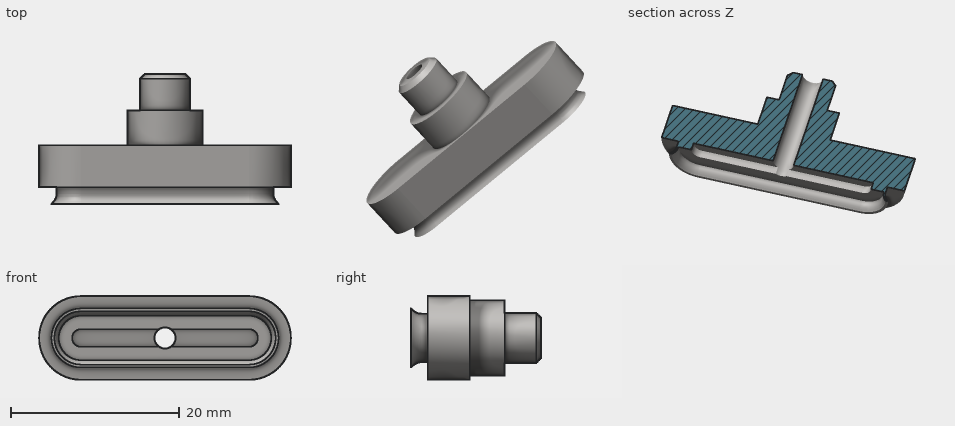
import cadquery as cq
import math

LENGTH = 30.0
HEIGHT = 10.0
PLATE_THICKNESS = 5.0
END_OFFSET = (LENGTH - HEIGHT) / 2

BOSS_DIAMETER = 9.0
BOSS_LENGTH = 4.15
PIN_DIAMETER = 6.0
PIN_LENGTH = 4.35
PIN_CHAMFER = 0.6

LIP_RADIUS = 2.9
LIP_WALL = 0.27
LIP_LENGTH = 2.0
STRAIGHT_LENGTH = 0.8
CURVE_LENGTH = 0.8
FLARE_ANGLE = math.radians(39)
CURVE_RADIUS = CURVE_LENGTH / math.sin(FLARE_ANGLE)

GROOVE_WIDTH = 2.1
GROOVE_DEPTH = 1.0
BORE_DIAMETER = 2.5


def front_plane(y):
    """Sketch plane at the given Y, with its normal toward +Y."""
    return cq.Workplane(cq.Plane(origin=(0, y, 0), xDir=(1, 0, 0), normal=(0, 1, 0)))


def stadium(width, y, depth):
    return front_plane(y).slot2D(2 * END_OFFSET + width, width).extrude(depth)


def cylinder(diameter, y, depth):
    return front_plane(y).circle(diameter / 2).extrude(depth)


def flare_profile(x, inset):
    """Half section (Y, Z) of the flared shape, moved inward by the inset."""
    curve_center_z = LIP_RADIUS + CURVE_RADIUS
    arc_radius = CURVE_RADIUS + inset

    def arc_point(angle):
        return (
            -STRAIGHT_LENGTH - arc_radius * math.sin(angle),
            curve_center_z - arc_radius * math.cos(angle),
        )

    curve_end = arc_point(FLARE_ANGLE)
    mouth_z = curve_end[1] + (LIP_LENGTH + curve_end[0]) * math.tan(FLARE_ANGLE)
    return (
        cq.Workplane("YZ", origin=(x, 0, 0))
        .moveTo(0, 0)
        .lineTo(0, LIP_RADIUS - inset)
        .lineTo(-STRAIGHT_LENGTH, LIP_RADIUS - inset)
        .threePointArc(arc_point(FLARE_ANGLE / 2), curve_end)
        .lineTo(-LIP_LENGTH, mouth_z)
        .lineTo(-LIP_LENGTH, 0)
        .close()
    )


def flared_stadium(inset):
    """Flared solid: a straight middle between two revolved ends."""
    upper = flare_profile(-END_OFFSET, inset).extrude(2 * END_OFFSET)
    solid = upper.union(upper.mirror("XY"))
    for x in (-END_OFFSET, END_OFFSET):
        solid = solid.union(flare_profile(x, inset).revolve(360, (0, 0, 0), (1, 0, 0)))
    return solid


plate = stadium(HEIGHT, 0, PLATE_THICKNESS)
boss = cylinder(BOSS_DIAMETER, PLATE_THICKNESS, BOSS_LENGTH)
pin = cylinder(PIN_DIAMETER, PLATE_THICKNESS + BOSS_LENGTH, PIN_LENGTH)
pin = pin.faces(">Y").chamfer(PIN_CHAMFER)
lip = flared_stadium(0).cut(flared_stadium(LIP_WALL))
floor = stadium(2 * LIP_RADIUS, -STRAIGHT_LENGTH, STRAIGHT_LENGTH)

groove = stadium(GROOVE_WIDTH, -STRAIGHT_LENGTH, GROOVE_DEPTH)
bore_length = STRAIGHT_LENGTH + PLATE_THICKNESS + BOSS_LENGTH + PIN_LENGTH
bore = cylinder(BORE_DIAMETER, -STRAIGHT_LENGTH, bore_length)

result = plate.union(boss).union(pin).union(lip).union(floor).cut(groove).cut(bore)